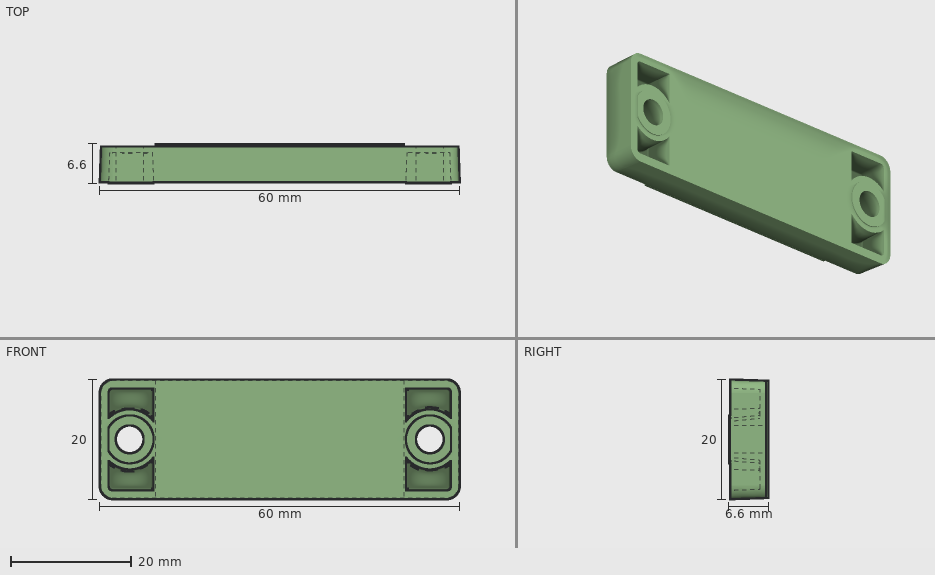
import cadquery as cq

length = 60.0
height = 20.0
body_depth = 6.0
corner_radius = 2.3
body_draft = 2.0

panel_length = 41.4
panel_height = 19.6
panel_thickness = 0.4

hole_offset = 25.0
hole_diameter = 4.6
pad_radius = 4.0
pad_thickness = 0.2

wall = 1.5
pocket_length = 7.5
pocket_depth = 5.0
pocket_draft = 2.0
pocket_corner_radius = 0.7
pocket_floor_fillet = 0.2
boss_radius = 5.0

pocket_outer_x = length / 2 - wall
pocket_inner_x = pocket_outer_x - pocket_length
pocket_height = height - 2 * wall


def front_plane(y=0.0):
    """XZ sketch plane at the given Y whose extrusions run towards +Y (local y is -Z)."""
    return cq.Workplane(cq.Plane(origin=(0, y, 0), xDir=(1, 0, 0), normal=(0, 1, 0)))


def make_body():
    outline = cq.Sketch().rect(length, height).vertices().fillet(corner_radius)
    return front_plane().placeSketch(outline).extrude(body_depth, taper=body_draft)


def make_panel():
    return front_plane(body_depth).rect(panel_length, panel_height).extrude(panel_thickness)


def make_boss(side):
    """Conical boss standing on a wide foot behind the pocket floor, with a fillet where they meet."""
    cone = front_plane().circle(boss_radius).extrude(pocket_depth, taper=-pocket_draft)
    foot_radius = boss_radius + pocket_length
    foot = front_plane(pocket_depth).circle(foot_radius).extrude(body_depth - pocket_depth)
    boss = cone.union(foot)
    base_circle = cq.selectors.RadiusNthSelector(1)
    boss = boss.edges(base_circle).fillet(pocket_floor_fillet)
    return boss.translate((side * hole_offset, 0, 0))


def make_pocket(side):
    """Drafted pocket at one end, leaving the conical boss standing around the hole."""
    half_height = pocket_height / 2
    outer_x = side * pocket_outer_x
    inner_x = side * pocket_inner_x
    corner_x = outer_x - side * pocket_corner_radius
    corner_z = half_height - pocket_corner_radius
    pocket = (
        front_plane()
        .moveTo(inner_x, -half_height)
        .lineTo(corner_x, -half_height)
        .radiusArc((outer_x, -corner_z), -side * pocket_corner_radius)
        .lineTo(outer_x, corner_z)
        .radiusArc((corner_x, half_height), -side * pocket_corner_radius)
        .lineTo(inner_x, half_height)
        .close()
        .extrude(pocket_depth, taper=pocket_draft)
    )
    rounded_pocket = pocket.faces(">Y").edges().fillet(pocket_floor_fillet)
    return rounded_pocket.cut(make_boss(side))


def make_pad(side):
    """Thin round pad around a hole, cut flat in line with the outer pocket wall."""
    disc = (
        front_plane(-pad_thickness)
        .center(side * hole_offset, 0)
        .circle(pad_radius)
        .extrude(pad_thickness)
    )
    limit = cq.Workplane("XY").box(2 * pocket_outer_x, 2 * body_depth, height)
    return disc.intersect(limit)


def make_hole(side):
    total_depth = pad_thickness + body_depth
    return (
        front_plane(-pad_thickness)
        .center(side * hole_offset, 0)
        .circle(hole_diameter / 2)
        .extrude(total_depth)
    )


part = make_body().union(make_panel())
for side in (-1, 1):
    part = part.cut(make_pocket(side))
    part = part.union(make_pad(side))
    part = part.cut(make_hole(side))

result = cq.Workplane(part.solids().val())